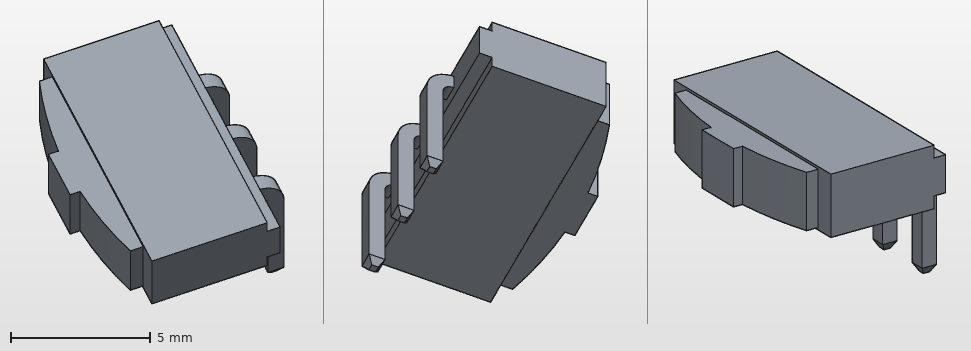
import cadquery as cq
import math

HOUSING_WIDTH = 10.0
HOUSING_DEPTH = 5.0
HOUSING_HEIGHT = 2.5
BACK_STEP = 0.5

NOSE_WIDTH = 8.4
NOSE_SIDE_DEPTH = 0.5
NOSE_BOW_RADIUS = 14.0
NOSE_INSET = 0.1
TONGUE_WIDTH = 2.0
TONGUE_REACH = 1.5

PIN_COUNT = 3
PIN_PITCH = 2.51
PIN_ROW_OFFSET = 0.055
PIN_SIZE = 0.63
PIN_AXIS_HEIGHT = 1.33
PIN_OUTER_BEND = 1.05
PIN_DROP = 3.69
TIP_LENGTH = 0.32
TIP_ANGLE = 30.0


def make_housing():
    """Stepped block with the bowed nose and tongue as one solid."""
    block = cq.Workplane("XY").box(
        HOUSING_WIDTH, HOUSING_DEPTH, HOUSING_HEIGHT, centered=(True, False, False)
    )
    for step_bottom in (0, HOUSING_HEIGHT - BACK_STEP):
        step = (
            cq.Workplane("XY", origin=(0, HOUSING_DEPTH - BACK_STEP, step_bottom))
            .box(HOUSING_WIDTH, BACK_STEP, BACK_STEP, centered=(True, False, False))
        )
        block = block.cut(step)

    half_width = NOSE_WIDTH / 2
    bow_rise = NOSE_BOW_RADIUS - math.sqrt(NOSE_BOW_RADIUS**2 - half_width**2)
    nose_height = HOUSING_HEIGHT - 2 * NOSE_INSET
    nose_plane = cq.Workplane("XY", origin=(0, 0, NOSE_INSET))
    nose = (
        nose_plane.moveTo(-half_width, 0)
        .lineTo(-half_width, -NOSE_SIDE_DEPTH)
        .threePointArc((0, -NOSE_SIDE_DEPTH - bow_rise), (half_width, -NOSE_SIDE_DEPTH))
        .lineTo(half_width, 0)
        .close()
        .extrude(nose_height)
    )
    tongue = (
        nose_plane.center(0, -TONGUE_REACH / 2)
        .rect(TONGUE_WIDTH, TONGUE_REACH)
        .extrude(nose_height)
    )
    return block.union(nose.union(tongue))


def make_pin(x):
    """One pin: a quarter bend at the back face, a straight leg and a tapered tip."""
    bend_radius = PIN_OUTER_BEND - PIN_SIZE / 2
    bend_base = PIN_AXIS_HEIGHT - bend_radius
    leg_y = HOUSING_DEPTH + bend_radius
    leg_end = TIP_LENGTH - PIN_DROP

    bend = (
        cq.Workplane("XY", origin=(x, leg_y, bend_base))
        .rect(PIN_SIZE, PIN_SIZE)
        .revolve(90, (-PIN_SIZE, -bend_radius), (PIN_SIZE, -bend_radius))
    )
    leg = (
        cq.Workplane("XY", origin=(x, leg_y, leg_end))
        .rect(PIN_SIZE, PIN_SIZE)
        .extrude(bend_base - leg_end)
    )
    tip = (
        cq.Workplane("XY", origin=(x, leg_y, leg_end))
        .rect(PIN_SIZE, PIN_SIZE)
        .extrude(-TIP_LENGTH, taper=TIP_ANGLE)
    )
    return leg.union(bend).union(tip)


housing = make_housing()

pins = []
for index in range(PIN_COUNT):
    pin_x = PIN_ROW_OFFSET + (index - (PIN_COUNT - 1) / 2) * PIN_PITCH
    pins.append(make_pin(pin_x))

result = cq.Compound.makeCompound([housing.val(), *[pin.val() for pin in pins]])